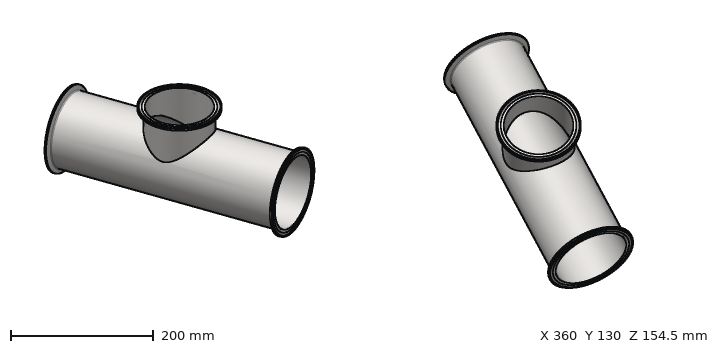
import math

import cadquery as cq

run_length = 360.0
run_outer_radius = 114.3 / 2
run_bore_radius = 108.3 / 2
run_flange_radius = 130.0 / 2

overall_height = 154.5
branch_top = overall_height - run_flange_radius
branch_outer_radius = 101.6 / 2
branch_bore_radius = 97.6 / 2
branch_flange_radius = 119.0 / 2

rim_thickness = 2.85
cone_angle = 20.0
neck_fillet = 1.5

groove_rim_gap = 2.2
groove_mouth_width = 4.2
groove_floor_width = 2.6
groove_wall_depth = 0.8
groove_depth = 1.6


def end_plane(origin, outward):
    """Plane on an end face, with its normal pointing out of the tube."""
    return cq.Plane(origin=origin, xDir=(0, 1, 0), normal=outward)


def section(plane):
    """Sketch plane holding the tube axis: X is the radius, Y points out of the tube."""
    return cq.Workplane(plane.rotated((90, 0, 0)))


def flange(plane, flange_radius, tube_radius):
    """Solid flange behind the end face: a straight rim, then a cone blended into the tube."""
    slope = math.radians(cone_angle)
    half_sweep = (math.pi / 2 - slope) / 2
    corner_depth = rim_thickness + (flange_radius - tube_radius) * math.tan(slope)
    tangent_length = neck_fillet * math.tan(half_sweep)
    cone_end = (
        tube_radius + tangent_length * math.cos(slope),
        -corner_depth + tangent_length * math.sin(slope),
    )
    tube_start = (tube_radius, -corner_depth - tangent_length)
    blend_center = (tube_radius + neck_fillet, tube_start[1])
    blend_middle = (
        blend_center[0] - neck_fillet * math.cos(half_sweep),
        blend_center[1] + neck_fillet * math.sin(half_sweep),
    )
    return (
        section(plane)
        .moveTo(0, 0)
        .lineTo(flange_radius, 0)
        .lineTo(flange_radius, -rim_thickness)
        .lineTo(*cone_end)
        .threePointArc(blend_middle, tube_start)
        .lineTo(0, tube_start[1])
        .close()
        .revolve(axisStart=(0, 0), axisEnd=(0, 1))
    )


def gasket_groove(plane, flange_radius):
    """Ring-shaped cutter for the groove in an end face."""
    mouth_outer = flange_radius - groove_rim_gap
    mouth_inner = mouth_outer - groove_mouth_width
    mouth_middle = (mouth_outer + mouth_inner) / 2
    wall_run = (groove_mouth_width - groove_floor_width) / 2
    return (
        section(plane)
        .moveTo(mouth_inner, 0)
        .lineTo(mouth_outer, 0)
        .lineTo(mouth_outer - wall_run, -groove_wall_depth)
        .threePointArc((mouth_middle, -groove_depth), (mouth_inner + wall_run, -groove_wall_depth))
        .close()
        .revolve(axisStart=(0, 0), axisEnd=(0, 1))
    )


def cylinder(plane, radius, length):
    """Round bar running inward from an end face."""
    return cq.Workplane(plane).circle(radius).extrude(-length)


left_end = end_plane((-run_length / 2, 0, 0), (-1, 0, 0))
right_end = end_plane((run_length / 2, 0, 0), (1, 0, 0))
branch_end = end_plane((0, 0, branch_top), (0, 0, 1))

ends = [
    (left_end, run_flange_radius, run_outer_radius),
    (right_end, run_flange_radius, run_outer_radius),
    (branch_end, branch_flange_radius, branch_outer_radius),
]

body = cylinder(left_end, run_outer_radius, run_length)
body = body.union(cylinder(branch_end, branch_outer_radius, branch_top))
for plane, flange_radius, tube_radius in ends:
    body = body.union(flange(plane, flange_radius, tube_radius))

body = body.cut(cylinder(left_end, run_bore_radius, run_length))
body = body.cut(cylinder(branch_end, branch_bore_radius, branch_top))

for plane, flange_radius, _ in ends:
    body = body.cut(gasket_groove(plane, flange_radius))

result = body